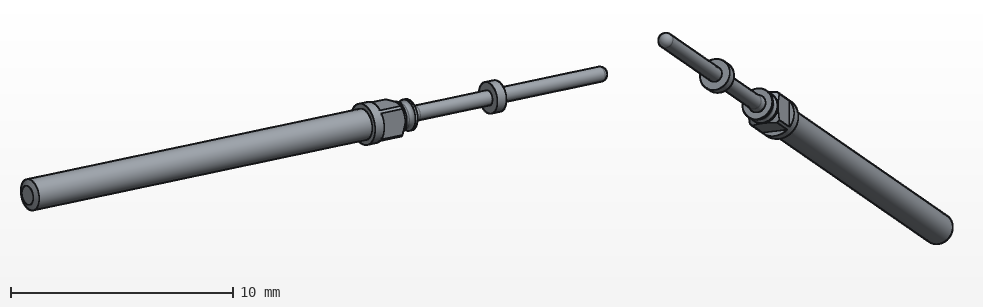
import cadquery as cq

tube_length = 18.5
flange_length = 0.5
square_front_y = 1.83
rim_front_y = 1.91
groove_bottom_y = 2.1
ring_rear_y = 2.38
ring_front_y = 2.51
flare_front_y = 2.9
collar_rear_y = 6.9
collar_length = 0.5
tip_y = 13.4

flange_diameter = 1.9
tube_diameter = 1.44
tube_end_diameter = 0.88
rim_diameter = 1.45
ring_diameter = 1.45
groove_diameter = 1.25
flare_diameter = 0.82
pin_diameter = 0.7
collar_diameter = 1.46

tube_end_taper = 0.13
tip_dome_height = 0.3
across_flats = 1.45
square_front_diameter = 1.4
square_taper = 0.16


def cylinder(diameter, start_y, length):
    """Solid cylinder on the Y axis, running toward +Y from start_y."""
    return cq.Workplane("XZ", origin=(0, start_y, 0)).circle(diameter / 2).extrude(-length)


def revolve_about_y(profile):
    """Full turn of a profile drawn in the YZ plane, about the Y axis."""
    return profile.close().revolve(360, (0, 0, 0), (1, 0, 0))


def make_tube():
    """Long rear tube with a shallow cone on its end, and the stop flange in front of it."""
    tube_end_y = -tube_length
    profile = (
        cq.Workplane("YZ")
        .moveTo(tube_end_y, 0)
        .lineTo(tube_end_y, tube_end_diameter / 2)
        .lineTo(tube_end_y + tube_end_taper, tube_diameter / 2)
        .lineTo(0, tube_diameter / 2)
        .lineTo(0, flange_diameter / 2)
        .lineTo(flange_length, flange_diameter / 2)
        .lineTo(flange_length, 0)
    )
    return revolve_about_y(profile)


def make_square_section():
    """Square section with corners turned to the flange diameter and a conical front."""
    turned_blank = revolve_about_y(
        cq.Workplane("YZ")
        .lineTo(0, flange_diameter / 2)
        .lineTo(square_front_y - square_taper, flange_diameter / 2)
        .lineTo(square_front_y, square_front_diameter / 2)
        .lineTo(square_front_y, 0)
    )
    square = cq.Workplane("XZ").rect(across_flats, across_flats).extrude(-square_front_y)
    return square.intersect(turned_blank)


def make_neck():
    """Rim, groove and ring in front of the square, then a flare that blends into the pin."""
    profile = (
        cq.Workplane("YZ")
        .lineTo(0, rim_diameter / 2)
        .lineTo(rim_front_y, rim_diameter / 2)
        .lineTo(groove_bottom_y, groove_diameter / 2)
        .tangentArcPoint((ring_rear_y, ring_diameter / 2), relative=False)
        .lineTo(ring_front_y, ring_diameter / 2)
        .lineTo(ring_front_y, flare_diameter / 2)
        .lineTo(flare_front_y, pin_diameter / 2)
        .lineTo(flare_front_y, 0)
    )
    return revolve_about_y(profile)


def make_pin():
    """Slim contact pin with a domed tip and a collar."""
    pin_radius = pin_diameter / 2
    dome_radius = (pin_radius**2 + tip_dome_height**2) / (2 * tip_dome_height)
    dome = cq.Workplane("XY").sphere(dome_radius).translate((0, tip_y - dome_radius, 0))
    dome_base_y = tip_y - tip_dome_height
    tip = cylinder(pin_diameter, dome_base_y, tip_dome_height).intersect(dome)
    shaft = cylinder(pin_diameter, 0, dome_base_y)
    collar = cylinder(collar_diameter, collar_rear_y, collar_length)
    return shaft.union(tip).union(collar)


result = make_tube().union(make_square_section()).union(make_neck()).union(make_pin())